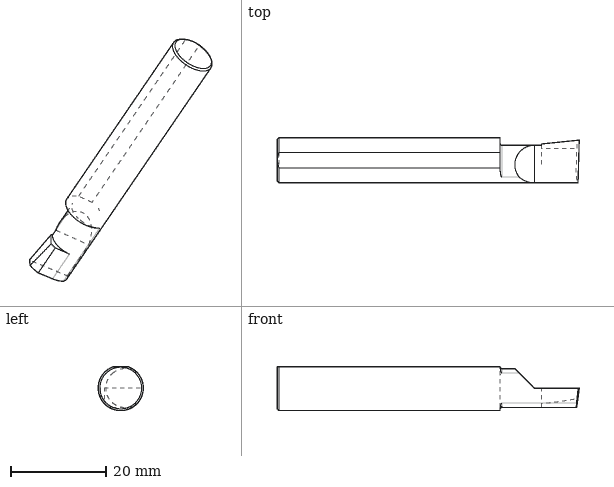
import cadquery as cq
import math

length = 63.5
shank_radius = 4.75
shank_length = 46.85
flat_depth = 0.285
back_chamfer = 0.4

neck_diameter = 8.2
neck_radius = neck_diameter / 2
neck_offset = -0.95
shoulder_fillet = 0.4

face_start = 54.05
head_start = 55.5
head_root_y = 3.4
head_tip_y = 4.25
end_skew = 0.25
end_relief_angle = 7.0


def bar(radius, start, end, y=0.0):
    """Cylinder along X between two stations."""
    return cq.Workplane("YZ", origin=(start, y, 0)).circle(radius).extrude(end - start)


def make_shank():
    return bar(shank_radius, 0, shank_length).faces("<X").chamfer(back_chamfer)


def make_flat_cut():
    """Material above the clamping flat, including the top of the shoulder fillet."""
    slab = cq.Workplane("XY").box(length, 2 * shank_radius, flat_depth, centered=(False, True, False))
    return slab.translate((0, 0, shank_radius - flat_depth))


def make_neck():
    neck = bar(neck_radius, shank_length, length, neck_offset)
    flare_radius = neck_radius + shoulder_fillet
    flare_end = shank_length + shoulder_fillet
    mid = shoulder_fillet * (1 - math.sqrt(0.5))
    flare = (
        cq.Workplane("XY", origin=(0, neck_offset, 0))
        .moveTo(shank_length, 0)
        .lineTo(shank_length, flare_radius)
        .threePointArc((shank_length + mid, neck_radius + mid), (flare_end, neck_radius))
        .lineTo(flare_end, 0)
        .close()
        .revolve(360, (0, 0, 0), (1, 0, 0))
    )
    return neck.union(flare)


def make_head():
    """Wedge that widens towards the cutting corner on +Y."""
    outline = [
        (head_start, neck_offset),
        (length, neck_offset),
        (length, head_tip_y),
        (head_start, head_root_y),
    ]
    return cq.Workplane("XY").polyline(outline).close().extrude(-neck_radius)


def make_ramp_cut():
    """Space above the cutting face and its 45 degree ramp."""
    ramp_top = (face_start - shank_radius, shank_radius)
    outline = [(face_start, 0), (length, 0), (length, shank_radius), ramp_top]
    return cq.Workplane("XZ").polyline(outline).close().extrude(shank_radius, both=True)


def make_end_cut():
    """Trim behind the cutting edge, skewed along Y and relieved along Z."""
    skew_slope = end_skew / (head_tip_y + shank_radius)
    relief_slope = math.tan(math.radians(end_relief_angle))

    def edge_x(y, z):
        return length - skew_slope * (head_tip_y - y) + relief_slope * z

    def section(y):
        outer_x = length + shank_radius
        points = [
            (edge_x(y, 0), 0),
            (outer_x, 0),
            (outer_x, -shank_radius),
            (edge_x(y, -shank_radius), -shank_radius),
        ]
        return cq.Wire.makePolygon([cq.Vector(x, y, z) for x, z in points], close=True)

    return cq.Solid.makeLoft([section(-shank_radius), section(shank_radius)], True)


tool_end = make_neck().union(make_head())
tool_end = tool_end.intersect(bar(shank_radius, shank_length, length))
tool_end = tool_end.cut(make_ramp_cut()).cut(cq.Workplane(make_end_cut()))

result = make_shank().union(tool_end).cut(make_flat_cut())